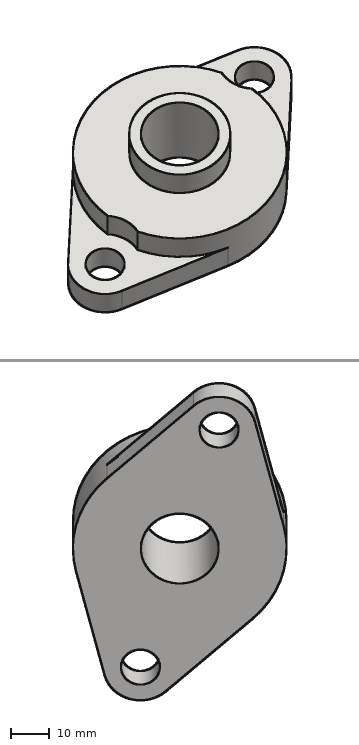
import cadquery as cq
import math

length = 90.0
body_diameter = 55.0
ear_radius = 9.5
ear_hole_diameter = 10.0
boss_diameter = 26.0
bore_diameter = 20.0
total_height = 24.0

step_height = total_height / 3
body_height = 2 * step_height
body_radius = body_diameter / 2
ear_offset = length / 2 - ear_radius
ear_centers = [(0, ear_offset), (0, -ear_offset)]

tangent_sin = (body_radius - ear_radius) / ear_offset
tangent_cos = math.sqrt(1 - tangent_sin**2)


def make_flange():
    """Diamond flange: body circle and two ear circles joined by tangent lines."""
    body_x = body_radius * tangent_cos
    body_y = body_radius * tangent_sin
    ear_x = ear_radius * tangent_cos
    ear_y = ear_offset + ear_radius * tangent_sin
    return (
        cq.Workplane("XY")
        .moveTo(body_x, -body_y)
        .threePointArc((body_radius, 0), (body_x, body_y))
        .lineTo(ear_x, ear_y)
        .threePointArc((0, length / 2), (-ear_x, ear_y))
        .lineTo(-body_x, body_y)
        .threePointArc((-body_radius, 0), (-body_x, -body_y))
        .lineTo(-ear_x, -ear_y)
        .threePointArc((0, -length / 2), (ear_x, -ear_y))
        .close()
        .extrude(step_height)
    )


def make_body():
    """Round body, scalloped around the ears above the flange."""
    body = cq.Workplane("XY").circle(body_radius).extrude(body_height)
    scallops = (
        cq.Workplane("XY", origin=(0, 0, step_height))
        .pushPoints(ear_centers)
        .circle(ear_radius)
        .extrude(step_height)
    )
    return body.cut(scallops)


boss = cq.Workplane("XY").circle(boss_diameter / 2).extrude(total_height)
bore = cq.Workplane("XY").circle(bore_diameter / 2).extrude(total_height)
ear_holes = (
    cq.Workplane("XY")
    .pushPoints(ear_centers)
    .circle(ear_hole_diameter / 2)
    .extrude(step_height)
)

result = make_flange().union(make_body()).union(boss).cut(bore).cut(ear_holes)